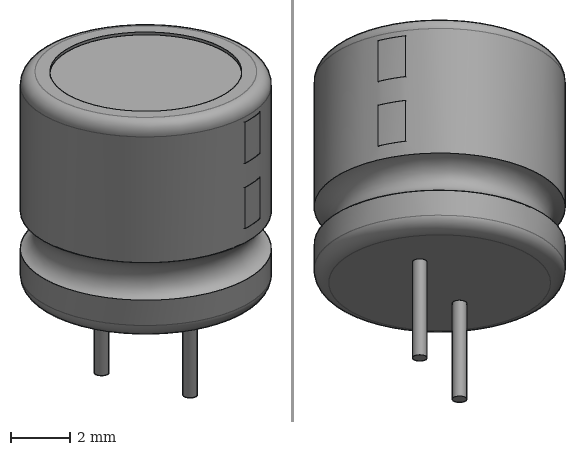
import cadquery as cq

can_diameter = 8.5
can_radius = can_diameter / 2
overall_height = 11.6
lead_length = 3.6
can_height = overall_height - lead_length
rim_radius = 0.5
groove_center_z = 2.13
groove_half_height = 0.7
groove_depth = 0.5
groove_radius = (groove_half_height**2 + groove_depth**2) / (2 * groove_depth)

disc_radius = 3.25
disc_thickness = 0.1
disc_setback = 0.1

lead_diameter = 0.5
lead_spacing = 3.5

mark_width = 1.0
mark_height = 1.53
mark_thickness = 0.1
mark_pitch = 2.42
lower_mark_center_z = 4.12
mark_count = 2


def make_can_blank():
    """Revolve the outer profile of the can, before its recesses are cut."""
    flat_radius = can_radius - rim_radius
    profile = (
        cq.Workplane("XZ")
        .lineTo(flat_radius, 0)
        .radiusArc((can_radius, rim_radius), -rim_radius)
        .lineTo(can_radius, groove_center_z - groove_half_height)
        .radiusArc((can_radius - groove_depth, groove_center_z), groove_radius)
        .radiusArc((can_radius, groove_center_z + groove_half_height), groove_radius)
        .lineTo(can_radius, can_height - rim_radius)
        .radiusArc((flat_radius, can_height), -rim_radius)
        .lineTo(0, can_height)
        .close()
    )
    return profile.revolve(360, (0, 0, 0), (0, 1, 0))


def make_top_disc():
    """Disc that lies on the floor of the recess in the can top."""
    floor_z = can_height - disc_setback - disc_thickness
    return cq.Workplane("XY").workplane(offset=floor_z).circle(disc_radius).extrude(disc_thickness)


def make_mark(center_z):
    """Thin curved patch of the can wall, centered on +X."""
    wall = (
        cq.Workplane("XY")
        .workplane(offset=center_z - mark_height / 2)
        .circle(can_radius)
        .circle(can_radius - mark_thickness)
        .extrude(mark_height)
    )
    window = (
        cq.Workplane("XY")
        .box(can_radius, mark_width, mark_height, centered=(False, True, True))
        .translate((can_radius / 2, 0, center_z))
    )
    return wall.intersect(window)


def make_lead(center_x):
    """Straight round wire hanging from the base of the can."""
    return cq.Workplane("XY").center(center_x, 0).circle(lead_diameter / 2).extrude(-lead_length)


def make_can(marks):
    """Can with the top recess and a matching pocket for each mark."""
    recess_depth = disc_setback + disc_thickness
    recess = (
        cq.Workplane("XY")
        .workplane(offset=can_height - recess_depth)
        .circle(disc_radius)
        .extrude(recess_depth)
    )
    can = make_can_blank().cut(recess)
    for mark in marks:
        can = can.cut(mark)
    return can


top_disc = make_top_disc()
marks = [make_mark(lower_mark_center_z + i * mark_pitch) for i in range(mark_count)]
leads = [make_lead(side * lead_spacing / 2) for side in (-1, 1)]
can = make_can(marks)

result = cq.Compound.makeCompound(
    [
        can.val(),
        top_disc.val(),
        *[mark.val() for mark in marks],
        *[lead.val() for lead in leads],
    ]
)